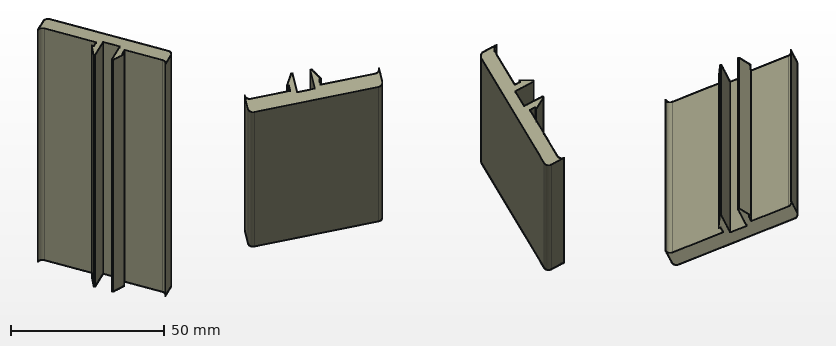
import cadquery as cq
import math

length = 100.0
width = 45.0
depth = 11.0

plate_thickness = 5.0
corner_radius = 1.7
lip_radius = 1.6
lip_tip_width = 0.05

clip_offset = 2.5
slot_width = 5.9
slot_floor = 4.0
leg_thickness = 2.1
barb_overhang = 0.7
barb_start = 7.0
leg_tip_width = 0.5

outer_y = depth / 2
inner_y = outer_y - plate_thickness
leg_tip_y = outer_y - depth
slot_floor_y = outer_y - slot_floor
barb_y = outer_y - barb_start
half_width = width / 2


def make_plate():
    """Flat plate with rounded outer edges."""
    plate = cq.Workplane("XY").box(width, plate_thickness, length)
    plate = plate.edges("|Z and >Y").fillet(corner_radius)
    return plate.translate((0, outer_y - plate_thickness / 2, 0))


def make_lip(side):
    """Edge lip with a concave inner face; side is -1 or +1 along X."""
    edge_x = side * half_width
    tip_x = edge_x - side * lip_tip_width
    root_x = tip_x - side * lip_radius
    tip_y = inner_y - lip_radius
    arc_reach = lip_radius * math.sqrt(0.5)
    return (
        cq.Workplane("XY", origin=(0, 0, -length / 2))
        .moveTo(edge_x, inner_y)
        .lineTo(edge_x, tip_y)
        .lineTo(tip_x, tip_y)
        .threePointArc((root_x + side * arc_reach, tip_y + arc_reach), (root_x, inner_y))
        .close()
        .extrude(length)
    )


def make_leg(side):
    """Barbed clip leg on one side of the slot; side is -1 or +1 along X."""
    inside = slot_width / 2
    outside = inside + leg_thickness
    outline = [
        (inside, slot_floor_y),
        (outside, slot_floor_y),
        (outside, barb_y),
        (outside + barb_overhang, barb_y),
        (inside + leg_tip_width, leg_tip_y),
        (inside, leg_tip_y),
    ]
    points = [(clip_offset + side * x, y) for x, y in outline]
    return cq.Workplane("XY", origin=(0, 0, -length / 2)).polyline(points).close().extrude(length)


result = make_plate()
for side in (-1, 1):
    result = result.union(make_lip(side)).union(make_leg(side))

slot_depth = slot_floor_y - leg_tip_y
slot_centre_y = (slot_floor_y + leg_tip_y) / 2
slot = cq.Workplane("XY").box(slot_width, slot_depth, length)
result = result.cut(slot.translate((clip_offset, slot_centre_y, 0)))